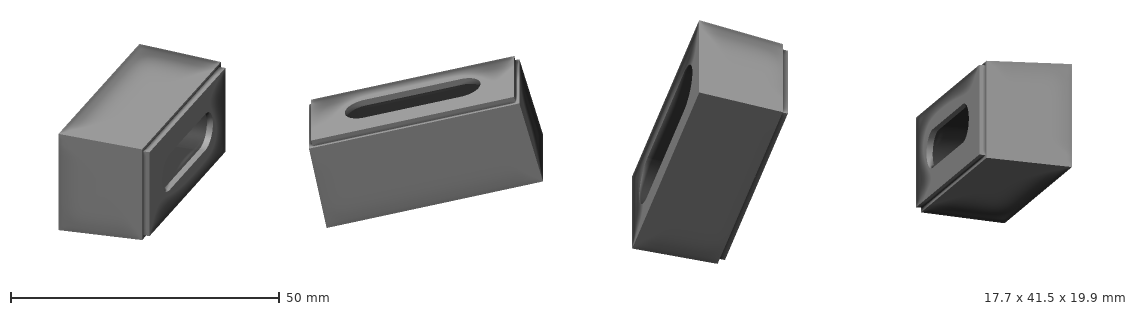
import cadquery as cq
import math

length = 41.5
height = 19.9
body_depth = 16.5
draft_angle = 2.0

lip_thickness = 1.2
lip_inset = 0.7

pocket_length = 33.05
pocket_height = 10.45
pocket_draft_angle = 0.5
slot_length = 26.0
slot_height = 7.45

total_depth = body_depth + lip_thickness
end_shrink = 2 * body_depth * math.tan(math.radians(draft_angle))
lip_length = length - end_shrink - 2 * lip_inset
lip_height = height - end_shrink - 2 * lip_inset


def plane_at(x):
    """Sketch plane across the block at depth x, facing +X."""
    return cq.Workplane("YZ", origin=(x, 0, 0))


body = plane_at(0).rect(length, height).extrude(body_depth, taper=draft_angle)
lip = plane_at(body_depth).rect(lip_length, lip_height).extrude(lip_thickness)
pocket = plane_at(0).slot2D(pocket_length, pocket_height).extrude(body_depth, taper=pocket_draft_angle)
through_slot = plane_at(0).slot2D(slot_length, slot_height).extrude(total_depth)

result = body.union(lip).cut(pocket).cut(through_slot)